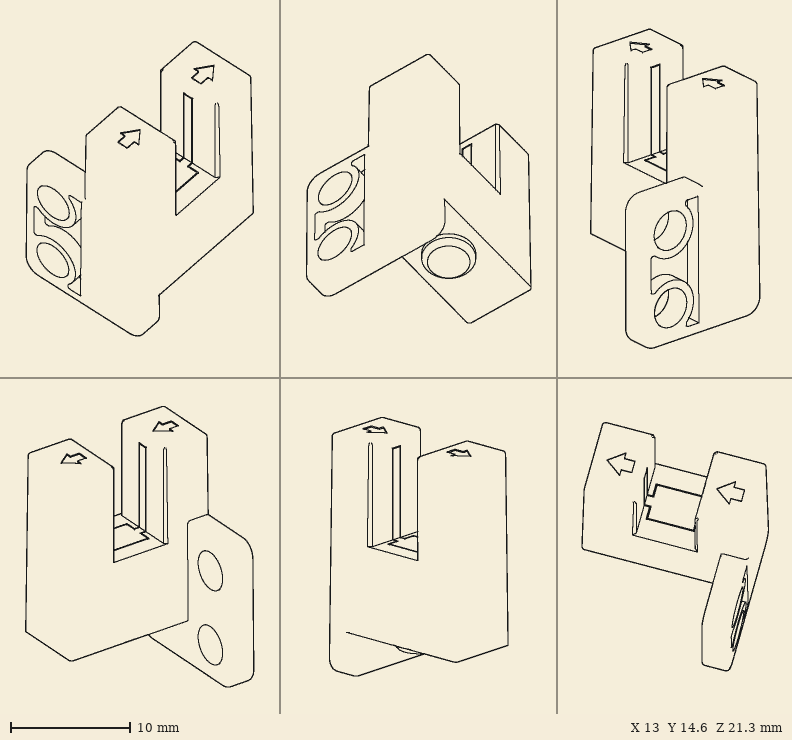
import cadquery as cq
import math

width = 13.01
depth = 14.6
height = 21.3

draft_slope = math.tan(math.radians(0.5))

tower_base_z = 4.17
tower_left = 6.3
tower_center_x = 9.63

slot_width = 5.11
slot_center_y = 7.3
slot_floor_z = 12.2
slot_chamfer = 0.4

clearance = 0.21

flange_thickness = 2.43
flange_height = 13.67
flange_corner_radius = 1.5
edge_radius = 0.32

hole_diameter = 3.51
hole_x = 3.1
hole_spacing = 7.11
hole_center_z = flange_height / 2
hole_boss_radius = 2.5

pocket_left = 1.0
pocket_right = 6.18
pocket_half_height = 5.81
pocket_waist_half_height = 1.73
pocket_depth = 1.5
pocket_corner_radius = 0.21

window_gap = 0.09
window_thickness = 0.43
window_plate_width = 3.0
window_plate_length = 4.0
window_strip_width = 0.83
window_strip_top_z = 20.21

arrow_depth = 0.1
arrow_length = 2.28
arrow_head_length = 1.36
arrow_head_width = 2.02
arrow_stem_width = 1.02
arrow_spacing = 9.55

boot_radius = 2.28
boot_tip_radius = 1.79
boot_height = 1.0
boot_taper_height = 0.51


def lean(rise):
    """Distance a moulded wall leans inwards over a given rise."""
    return draft_slope * rise


def front_plane_prism(points, y_length):
    """Extrude an X-Z outline from the front face towards +Y."""
    return cq.Workplane("XZ").polyline(points).close().extrude(-y_length)


def make_housing_blank():
    """Flange plate and tower with the leaning outer walls, before slot and recesses."""
    right_foot = width + lean(flange_corner_radius)
    right_top = right_foot - lean(height)
    left_top = tower_left + lean(height - tower_base_z)
    left_at_flange = tower_left + lean(flange_height - tower_base_z)
    front_outline = [
        (0, 0), (right_foot, 0), (right_top, height), (left_top, height),
        (left_at_flange, flange_height), (0, flange_height),
    ]
    plate = front_plane_prism(front_outline, flange_thickness)
    for x, z in [(0, 0), (right_foot, 0), (0, flange_height)]:
        nearest = cq.selectors.NearestToPointSelector((x, flange_thickness / 2, z))
        plate = plate.edges(nearest).fillet(flange_corner_radius)
    plate = plate.faces(">Y").edges().fillet(edge_radius)

    tower_outline = [
        (tower_left, tower_base_z), (right_foot - lean(tower_base_z), tower_base_z),
        (right_top, height), (left_top, height),
    ]
    tower = front_plane_prism(tower_outline, depth)

    back_top = depth - lean(height - tower_base_z)
    side_profile = (
        cq.Workplane("YZ")
        .polyline([(0, 0), (depth, 0), (depth, tower_base_z), (back_top, height),
                   (lean(height), height)])
        .close()
        .extrude(right_foot)
    )
    return plate.union(tower).intersect(side_profile)


def make_slot_cutter():
    """Upright slot whose mouths flare at 45 degrees on both sides of the tower."""
    reach = width - tower_center_x + clearance
    flare_start = reach - clearance - slot_chamfer
    half = slot_width / 2
    flare_half = half + reach - flare_start
    quarter = [(reach, flare_half), (flare_start, half)]
    outline = quarter + [(-x, y) for x, y in reversed(quarter)]
    outline += [(-x, -y) for x, y in outline]
    return (
        cq.Workplane("XY", origin=(tower_center_x, slot_center_y, slot_floor_z))
        .polyline(outline)
        .close()
        .extrude(height - slot_floor_z + clearance)
    )


def round_edges(body):
    """Round the whole front outline, the arm tops and the tower's two rear uprights."""
    front = body.faces("<Y").edges()
    arm_tops = body.faces(">Z").edges()
    rear_uprights = body.faces(">Y").edges("<X or >X")
    return front.add(arm_tops).add(rear_uprights).fillet(edge_radius)


def hole_offsets():
    """Hole centres in X and in height above the middle of the flange."""
    return [(hole_x, side * hole_spacing / 2) for side in (-1, 1)]


def make_pocket_cutter():
    rise = hole_spacing / 2 - pocket_waist_half_height
    column_left = hole_x + math.sqrt(hole_boss_radius ** 2 - rise ** 2)
    half_outline = [
        (pocket_left, pocket_waist_half_height), (column_left, pocket_waist_half_height),
        (column_left, pocket_half_height), (pocket_right, pocket_half_height),
    ]
    outline = half_outline + [(x, -z) for x, z in reversed(half_outline)]
    front = cq.Workplane("XZ", origin=(0, 0, hole_center_z))
    bosses = front.pushPoints(hole_offsets()).circle(hole_boss_radius).extrude(-pocket_depth)
    pocket = front.polyline(outline).close().extrude(-pocket_depth).cut(bosses)
    left_edges = pocket.edges("|Y").edges(
        cq.selectors.BoxSelector((0, -clearance, 0), (column_left + clearance, depth, height))
    )
    return left_edges.fillet(pocket_corner_radius)


def make_hole_cutter():
    return (
        cq.Workplane("XZ", origin=(0, 0, hole_center_z))
        .pushPoints(hole_offsets())
        .circle(hole_diameter / 2)
        .extrude(-flange_thickness)
    )


def make_window_shape(gap):
    """Window grown sideways by `gap`; its faces stay flush with the slot walls and floor."""
    floor = cq.Workplane("XY", origin=(tower_center_x, slot_center_y, slot_floor_z))
    plate = floor.rect(window_plate_width + 2 * gap, window_plate_length + 2 * gap)
    plate = plate.extrude(-window_thickness)
    strip_width = window_strip_width + 2 * gap
    frame_length = slot_width + 2 * window_thickness
    frame_bottom_z = slot_floor_z - window_thickness
    frame = cq.Workplane("XY", origin=(tower_center_x, slot_center_y, frame_bottom_z))
    frame = frame.rect(strip_width, frame_length).extrude(window_strip_top_z + gap - frame_bottom_z)
    opening = floor.rect(strip_width, slot_width).extrude(height)
    return plate.union(frame.cut(opening))


def make_arrow_cutter():
    half_head = arrow_head_width / 2
    half_stem = arrow_stem_width / 2
    tip_y = arrow_length / 2
    shoulder_y = tip_y - arrow_head_length
    outline = [
        (0, tip_y), (half_head, shoulder_y), (half_stem, shoulder_y), (half_stem, -tip_y),
        (-half_stem, -tip_y), (-half_stem, shoulder_y), (-half_head, shoulder_y),
    ]
    return cq.Workplane("XY").polyline(outline).close().extrude(-arrow_depth)


def make_housing():
    housing = make_housing_blank().cut(make_slot_cutter())
    housing = round_edges(housing)
    housing = housing.cut(make_pocket_cutter()).cut(make_hole_cutter())
    housing = housing.cut(make_window_shape(window_gap))
    for side in (-1, 1):
        arrow_y = slot_center_y + side * arrow_spacing / 2
        housing = housing.cut(make_arrow_cutter().translate((tower_center_x, arrow_y, height)))
    return housing


def make_cable_boot():
    straight_height = boot_height - boot_taper_height
    profile = [
        (0, 0), (-boot_radius, 0), (-boot_radius, -straight_height),
        (-boot_tip_radius, -boot_height), (0, -boot_height),
    ]
    boot = cq.Workplane("XZ").polyline(profile).close().revolve(360, (0, 0, 0), (0, 1, 0))
    return boot.translate((tower_center_x, slot_center_y, tower_base_z))


housing = make_housing()
window = make_window_shape(0)
cable_boot = make_cable_boot()

result = cq.Compound.makeCompound([housing.val(), window.val(), cable_boot.val()])